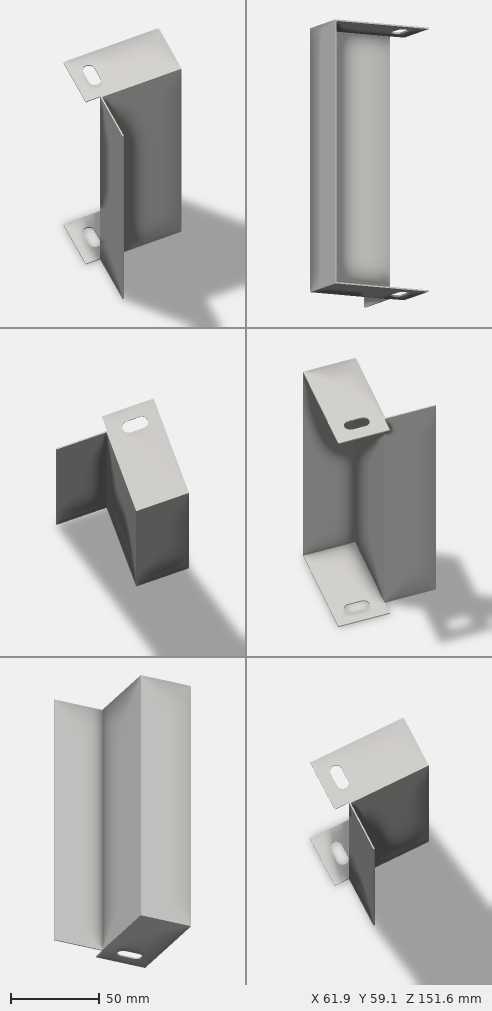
import cadquery as cq

width = 61.9
depth = 59.1
height = 151.6
sheet = 0.8

web_inner_x = 31.0
web_outer_x = web_inner_x + sheet
wing_front_y = 9.0

slot_length = 15.0
slot_width = 7.0
slot_x = 15.0
slot_y = 10.9


def plate(x_min, x_max, y_min, y_max, z_min, z_max):
    """Rectangular plate between the given limits."""
    size = (x_max - x_min, y_max - y_min, z_max - z_min)
    return cq.Workplane("XY").box(*size, centered=False).translate((x_min, y_min, z_min))


def end_flange(z_min):
    """Flat end flange with a slot, its lower face at z_min, ending at the web."""
    flange = plate(0, web_inner_x, 0, depth, z_min, z_min + sheet)
    slot = (
        cq.Workplane("XY", origin=(slot_x, slot_y, z_min))
        .slot2D(slot_length, slot_width)
        .extrude(sheet)
    )
    return flange.cut(slot)


back_wall = plate(0, web_outer_x, depth - sheet, depth, 0, height)
web = plate(web_inner_x, web_outer_x, wing_front_y, depth, 0, height)
wing = plate(web_inner_x, width, wing_front_y, wing_front_y + sheet, 0, height)

result = back_wall.union(web).union(wing)
for flange_z in (0, height - sheet):
    result = result.union(end_flange(flange_z))